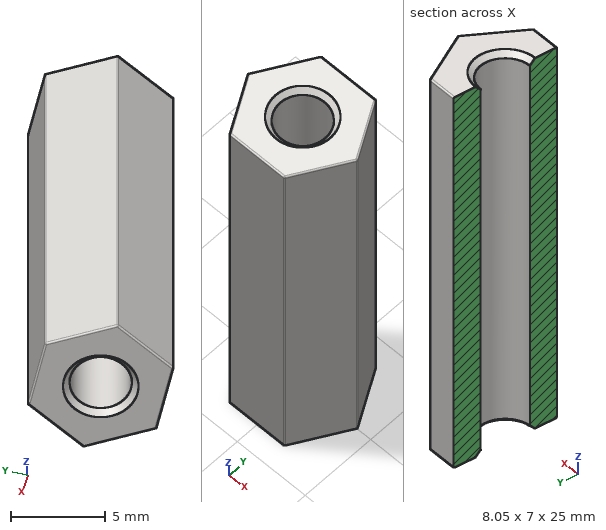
import cadquery as cq
import math

side_count = 6
across_flats = 7.0
length = 25.0
edge_radius = 0.1

hole_diameter = 3.3
countersink_diameter = 4.0
countersink_angle = 90.0

across_corners = across_flats / math.cos(math.pi / side_count)


def hexagonal_body():
    """Hexagonal bar standing on Z = 0, flats facing +Y and -Y, all edges rounded."""
    bar = cq.Workplane("XY").polygon(side_count, across_corners).extrude(length)
    return bar.edges().fillet(edge_radius)


def drill_countersunk(body, end_face):
    """Drill through the body from one end face, countersinking that end."""
    return (
        body.faces(end_face)
        .workplane(centerOption="CenterOfBoundBox")
        .cskHole(hole_diameter, countersink_diameter, countersink_angle)
    )


result = hexagonal_body()
for end_face in (">Z", "<Z"):
    result = drill_countersunk(result, end_face)